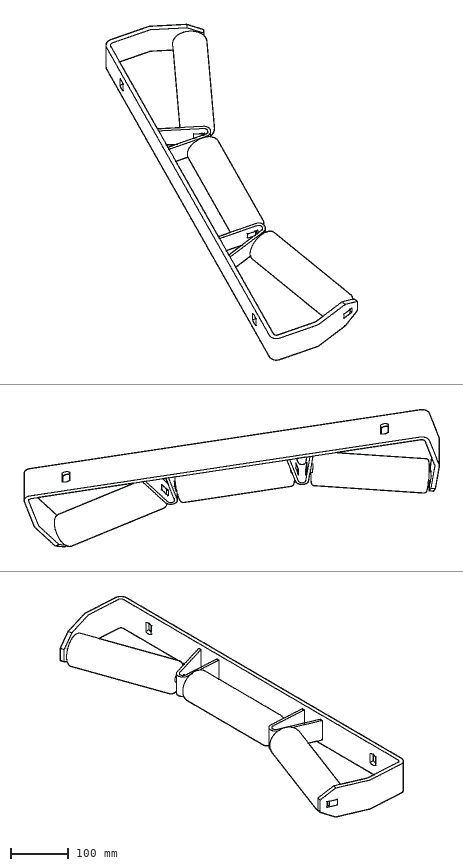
import cadquery as cq
import math


tilt = 20.0
tilt_cos = math.cos(math.radians(tilt))
tilt_sin = math.sin(math.radians(tilt))
tilt_tan = tilt_sin / tilt_cos

frame_half_length = 360.0
frame_height = 175.0
frame_width = 60.0
frame_thickness = 8.0
frame_outer_radius = 14.0
frame_inner_radius = frame_outer_radius - frame_thickness
bend_height = 86.5
tip_chamfer_along = 29.5
tip_chamfer_across = 17.0
mount_slot_offset = 283.0
mount_slot_width = 14.0
mount_slot_length = 22.0

roller_diameter = 60.0
roller_length = 200.0
roller_edge_radius = 5.0
shaft_diameter = 15.0
shaft_flat_width = 11.5
end_clearance = 5.0
seat_half_span = roller_length / 2 + end_clearance
middle_axis_height = 71.0
axis_below_tip = 25.0

slot_play = 4.0
slot_cutter_length = 3 * frame_thickness

bracket_width = 40.0
bracket_height = 93.5
bracket_thickness = 5.0
bracket_outer_radius = 11.5
bracket_inner_radius = bracket_outer_radius - bracket_thickness

tip_x = frame_half_length - (frame_height - bend_height) * tilt_tan
seat_x = tip_x + axis_below_tip * tilt_sin - frame_thickness * tilt_cos
seat_y = frame_height - axis_below_tip * tilt_cos - frame_thickness * tilt_sin
outer_roller_x = seat_x - seat_half_span * tilt_cos
outer_roller_y = seat_y - seat_half_span * tilt_sin

left_place = (-outer_roller_x, outer_roller_y, -tilt)
middle_place = (0, middle_axis_height, 0)
right_place = (outer_roller_x, outer_roller_y, tilt)


def place(body, where):
    """Move a body drawn around the origin, along X, to a roller place."""
    x, y, angle = where
    return body.rotate((0, 0, 0), (0, 0, 1), angle).translate((x, y, 0))


def centred_bar(length, diameter):
    """Round bar along X with its middle at the origin."""
    return cq.Workplane("YZ", origin=(-length / 2, 0, 0)).circle(diameter / 2).extrude(length)


def make_roller(left_tip, right_tip):
    """Drum with rounded rims on a round shaft with flat-sided tips of the given lengths."""
    drum = centred_bar(roller_length, roller_diameter).edges().fillet(roller_edge_radius)
    shaft = centred_bar(2 * seat_half_span, shaft_diameter)
    roller = drum.union(shaft)
    for side, length in ((-1, left_tip), (1, right_tip)):
        tip = cq.Workplane("XY").box(length, shaft_diameter, shaft_flat_width)
        roller = roller.union(tip.translate((side * (seat_half_span + length / 2), 0, 0)))
    return roller


def make_slot_cutter():
    """Bars at both roller ends, long enough to cut the shaft slots through any plate there."""
    slot_length = shaft_diameter + slot_play
    bar = cq.Workplane("XY").box(slot_cutter_length, slot_length, shaft_flat_width)
    bar = bar.translate((0, slot_play / 2, 0))
    return bar.translate((-seat_half_span, 0, 0)).union(bar.translate((seat_half_span, 0, 0)))


def make_frame():
    """Flat bar bent up at both ends, with leaning tips that carry the outer rollers."""
    inner_half = frame_half_length - frame_thickness
    inner_bend = bend_height - frame_thickness * math.tan(math.radians(tilt / 2))
    right_outer = [(frame_half_length, 0), (frame_half_length, bend_height), (tip_x, frame_height)]
    right_inner = [
        (tip_x - frame_thickness * tilt_cos, frame_height - frame_thickness * tilt_sin),
        (inner_half, inner_bend),
        (inner_half, frame_thickness),
    ]
    right = right_outer + right_inner
    left = [(-x, y) for x, y in reversed(right)]
    frame = cq.Workplane("XY").polyline(right + left).close().extrude(frame_width / 2, both=True)

    def round_bends(body, points, radius):
        for x, y in points:
            for side in (-1, 1):
                edge = cq.selectors.NearestToPointSelector((side * x, y, 0))
                body = body.edges(edge).fillet(radius)
        return body

    frame = round_bends(frame, right_outer[:2], frame_outer_radius)
    frame = round_bends(frame, right_inner[1:], frame_inner_radius)

    corner = (
        cq.Workplane("YZ")
        .polyline([
            (0, frame_width / 2),
            (0, frame_width / 2 - tip_chamfer_across),
            (-tip_chamfer_along, frame_width / 2),
        ])
        .close()
        .extrude(2 * frame_thickness, both=True)
    )
    corners = corner.union(corner.mirror("XY"))
    frame = frame.cut(place(corners, (tip_x, frame_height, tilt)))
    frame = frame.cut(place(corners, (-tip_x, frame_height, -tilt)))

    bore = cq.Workplane("XZ").circle(mount_slot_length / 2).extrude(-frame_thickness)
    flats = cq.Workplane("XY").box(mount_slot_width, 4 * frame_thickness, mount_slot_length)
    mount_slot = bore.intersect(flats)
    for side in (-1, 1):
        frame = frame.cut(mount_slot.translate((side * mount_slot_offset, 0, 0)))
    return frame


def make_right_bracket():
    """Strip folded over a round crest, one leg upright and one leg leaning outward."""
    crest_x = seat_half_span + bracket_outer_radius
    crest_y = bracket_height - bracket_outer_radius

    def crest_point(radius, angle):
        turn = math.radians(angle)
        return (crest_x + radius * math.cos(turn), crest_y + radius * math.sin(turn))

    def foot_x(radius):
        return crest_x + radius / tilt_cos + (crest_y - frame_thickness) * tilt_tan

    crest_middle = (tilt + 180) / 2
    return (
        cq.Workplane("XY")
        .moveTo(seat_half_span, frame_thickness)
        .lineTo(seat_half_span, crest_y)
        .threePointArc(
            crest_point(bracket_outer_radius, crest_middle),
            crest_point(bracket_outer_radius, tilt),
        )
        .lineTo(foot_x(bracket_outer_radius), frame_thickness)
        .lineTo(foot_x(bracket_inner_radius), frame_thickness)
        .lineTo(*crest_point(bracket_inner_radius, tilt))
        .threePointArc(
            crest_point(bracket_inner_radius, crest_middle),
            crest_point(bracket_inner_radius, 180),
        )
        .lineTo(seat_half_span + bracket_thickness, frame_thickness)
        .close()
        .extrude(bracket_width / 2, both=True)
    )


rollers = [
    place(make_roller(frame_thickness, bracket_thickness), left_place),
    place(make_roller(bracket_thickness, bracket_thickness), middle_place),
    place(make_roller(bracket_thickness, frame_thickness), right_place),
]

frame = make_frame()
right_bracket = make_right_bracket()

for where in (left_place, right_place):
    frame = frame.cut(place(make_slot_cutter(), where))
for where in (middle_place, right_place):
    right_bracket = right_bracket.cut(place(make_slot_cutter(), where))
brackets = [right_bracket.mirror("YZ"), right_bracket]

result = cq.Compound.makeCompound([
    frame.val(),
    *[bracket.val() for bracket in brackets],
    *[roller.val() for roller in rollers],
])